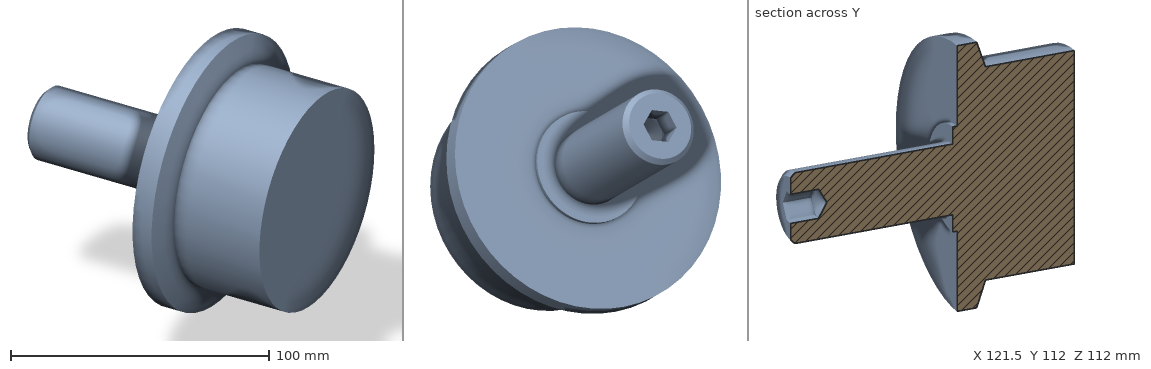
import cadquery as cq
import math

total_length = 121.5
stud_diameter = 30.0
stud_chamfer = 2.0
collar_diameter = 44.5
collar_thickness = 2.0
flange_diameter = 112.0
flange_thickness = 8.5
cone_length = 3.8
tread_diameter = 90.0
tread_length = 38.0

socket_across_flats = 12.0
socket_depth = 12.0
drill_point_angle = 120.0

cone_end = total_length - tread_length
flange_back = cone_end - cone_length
flange_face = flange_back - flange_thickness
collar_face = flange_face - collar_thickness


def roller_body():
    """Revolve the stepped half profile around the X axis."""
    stud_radius = stud_diameter / 2
    collar_radius = collar_diameter / 2
    flange_radius = flange_diameter / 2
    tread_radius = tread_diameter / 2
    profile = [
        (0, 0),
        (0, stud_radius - stud_chamfer),
        (stud_chamfer, stud_radius),
        (collar_face, stud_radius),
        (collar_face, collar_radius),
        (flange_face, collar_radius),
        (flange_face, flange_radius),
        (flange_back, flange_radius),
        (cone_end, tread_radius),
        (total_length, tread_radius),
        (total_length, 0),
    ]
    return cq.Workplane("XY").polyline(profile).close().revolve(360, (0, 0, 0), (1, 0, 0))


def hex_socket():
    """Hexagonal prism with corners on the Y axis, ending in a cone."""
    across_corners = socket_across_flats / math.cos(math.pi / 6)
    prism = cq.Workplane("YZ").polygon(6, across_corners).extrude(socket_depth)
    cone_radius = socket_across_flats / 2
    cone_height = cone_radius / math.tan(math.radians(drill_point_angle / 2))
    drill_point = cq.Workplane(
        cq.Solid.makeCone(
            cone_radius, 0, cone_height, cq.Vector(socket_depth, 0, 0), cq.Vector(1, 0, 0)
        )
    )
    return prism.union(drill_point)


result = roller_body().cut(hex_socket())